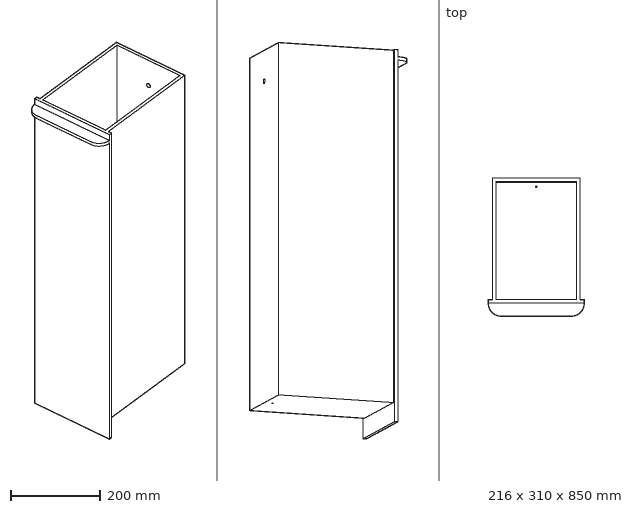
import cadquery as cq

panel_width = 216.0
panel_height = 850.0
overall_depth = 310.0
board = 8.0

box_width = 197.0
box_height = 805.0
handle_depth = 30.0
back_y = overall_depth - handle_depth
box_bottom = panel_height - box_height

handle_drop = 16.0

wall_hole_diameter = 10.0
wall_hole_drop = 70.5
floor_hole_diameter = 2.5
floor_hole_offset = 12.0
groove_width = 2.5
groove_depth = board / 2

inner_width = box_width - 2 * board
inner_back_y = back_y - board
floor_top = box_bottom + board


def block(width, y_start, y_end, z_start, z_end):
    """Box centred on X between the given Y and Z limits."""
    return (
        cq.Workplane("XY")
        .box(width, y_end - y_start, z_end - z_start, centered=(True, False, False))
        .translate((0, y_start, z_start))
    )


def make_box():
    """Open-topped box whose front is closed by the panel."""
    outside = block(box_width, board, back_y, box_bottom, panel_height)
    inside = block(inner_width, board, inner_back_y, floor_top, panel_height)
    return outside.cut(inside)


def make_handle():
    """Flat shelf with quarter-round outer corners."""
    return (
        block(panel_width, -handle_depth, board, 0, board)
        .edges("|Z and <Y")
        .fillet(handle_depth)
        .translate((0, 0, panel_height - handle_drop - board))
    )


def make_wall_hole():
    """Round hole through the back wall."""
    return (
        cq.Workplane("XZ", origin=(0, back_y, panel_height - wall_hole_drop))
        .circle(wall_hole_diameter / 2)
        .extrude(board)
    )


def make_floor_hole():
    """Small round hole through the floor near the back wall."""
    return (
        cq.Workplane("XY", origin=(0, inner_back_y - floor_hole_offset, box_bottom))
        .circle(floor_hole_diameter / 2)
        .extrude(board)
    )


def make_floor_groove():
    """Shallow groove in the floor along the back wall."""
    return block(inner_width, inner_back_y - groove_width, inner_back_y, floor_top - groove_depth, floor_top)


panel = block(panel_width, 0, board, 0, panel_height)
result = panel.union(make_box()).union(make_handle())
result = result.cut(make_wall_hole()).cut(make_floor_hole()).cut(make_floor_groove())